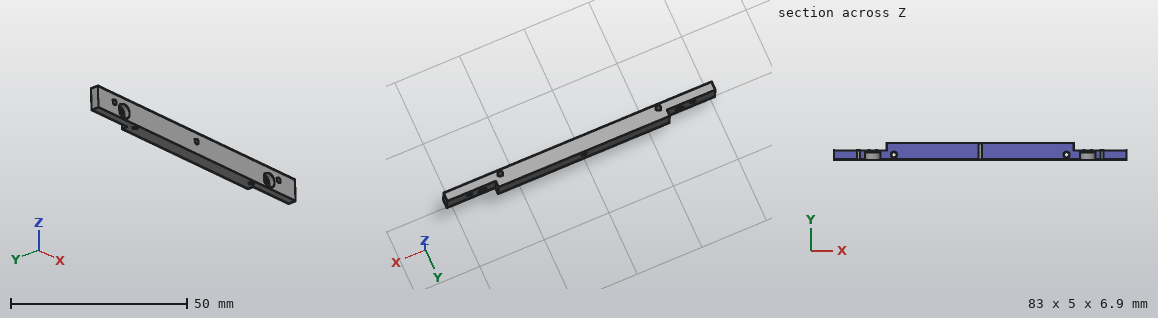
import cadquery as cq
import math

length = 83.0
depth = 5.0
height = 6.9
lean_angle = 2.5
step_depth = 2.0
raised_length = 53.0

pin_diameter = 1.6
pin_spacing = 69.05
end_pin_height = 4.15
middle_pin_height = 4.1
screw_diameter = 2.4
screw_spacing = 61.0
screw_height = 2.7
counterbore_diameter = 4.4
counterbore_depth = 2.0
vertical_hole_spacing = 49.0
vertical_hole_y = 1.5

lean = height * math.tan(math.radians(lean_angle))
body_thickness = depth - lean
end_thickness = body_thickness - step_depth


def leaning_bar(bar_length, thickness):
    """Bar centred on X whose front and back faces lean toward +Y going up."""
    return (
        cq.Workplane("YZ")
        .polyline([(0, 0), (thickness, 0), (thickness + lean, height), (lean, height)])
        .close()
        .extrude(bar_length / 2, both=True)
    )


def front_bore(x, z, diameter, bore_depth):
    """Cutter along Y at (x, z), reaching bore_depth past the front face at that height."""
    face_y = z * math.tan(math.radians(lean_angle))
    return cq.Solid.makeCylinder(
        diameter / 2, face_y + bore_depth, cq.Vector(x, 0, z), cq.Vector(0, 1, 0)
    )


result = leaning_bar(length, end_thickness).union(leaning_bar(raised_length, body_thickness))

result = result.cut(front_bore(0, middle_pin_height, pin_diameter, depth))
for x in (-pin_spacing / 2, pin_spacing / 2):
    result = result.cut(front_bore(x, end_pin_height, pin_diameter, depth))

for x in (-screw_spacing / 2, screw_spacing / 2):
    result = result.cut(front_bore(x, screw_height, screw_diameter, depth))
    result = result.cut(front_bore(x, screw_height, counterbore_diameter, counterbore_depth))

for x in (-vertical_hole_spacing / 2, vertical_hole_spacing / 2):
    result = result.cut(
        cq.Solid.makeCylinder(pin_diameter / 2, height, cq.Vector(x, vertical_hole_y, 0))
    )